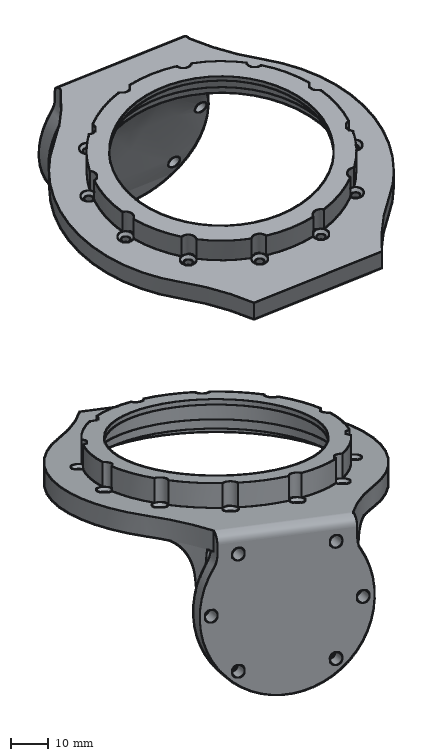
import cadquery as cq
import math

plate_thickness = 6.0
plate_radius = 46.0
plate_half_length = 50.0
plate_half_width = 20.0
blend_angle = 45.0

boss_radius = 36.0
boss_height = 7.0
boss_top = plate_thickness + boss_height

bore_radius = 30.0
lip_thickness = 1.5
upper_seat_radius = 33.5
lower_seat_radius = 34.5
recess_radius = 40.0
recess_depth = 3.0

screw_count = 12
screw_circle_radius = 36.9
screw_hole_diameter = 2.5
screw_head_diameter = 4.4

flange_thickness = 5.0
flange_radius = 25.0
flange_bottom = -42.1
flange_centre_z = flange_bottom + flange_radius
corner_radius = 3.1
flange_outer_x = -plate_half_length - corner_radius
flange_inner_x = flange_outer_x + flange_thickness
flange_hole_diameter = 3.6
flange_hole_circle_radius = 21.7
flange_hole_angles = (-50, 0, 50, 130, 180, 230)

gusset_reach = 15.3
gusset_toe_z = -38.1
gusset_disc_taper = 35.0
gusset_side_flare = 5.0
gusset_curve = ((10.9, -2.4), (8.8, -5.5), (7.4, -10.0), (6.4, -16.5), (5.8, -26.8))


def plate_outline():
    """Circle with a concave arc on each side of both straight ends."""
    blend_x = plate_radius * math.cos(math.radians(blend_angle))
    blend_y = plate_radius * math.sin(math.radians(blend_angle))
    end = (plate_half_length, plate_half_width)
    chord_x = end[0] - blend_x
    chord_y = blend_y - end[1]
    half_turn = math.radians(90 - blend_angle) - math.atan2(chord_y, chord_x)
    sagitta = math.hypot(chord_x, chord_y) / 2 * math.tan(half_turn / 2)
    chord_angle = math.atan2(chord_y, chord_x)
    mid_x = (blend_x + end[0]) / 2 - sagitta * math.sin(chord_angle)
    mid_y = (blend_y + end[1]) / 2 - sagitta * math.cos(chord_angle)
    return (
        cq.Workplane("XY")
        .moveTo(-blend_x, blend_y)
        .threePointArc((0, plate_radius), (blend_x, blend_y))
        .threePointArc((mid_x, mid_y), end)
        .lineTo(end[0], -end[1])
        .threePointArc((mid_x, -mid_y), (blend_x, -blend_y))
        .threePointArc((0, -plate_radius), (-blend_x, -blend_y))
        .threePointArc((-mid_x, -mid_y), (-end[0], -end[1]))
        .lineTo(-end[0], end[1])
        .threePointArc((-mid_x, mid_y), (-blend_x, blend_y))
        .close()
    )


def flange_body():
    """Disc with a straight neck, joined by concave arcs that start upright at Z = 0."""
    neck_radius = (flange_radius**2 - plate_half_width**2 - flange_centre_z**2) / (
        2 * (plate_half_width - flange_radius)
    )
    neck_centre_y = plate_half_width + neck_radius
    tangent_angle = math.atan2(-flange_centre_z, neck_centre_y)
    tangent_y = flange_radius * math.cos(tangent_angle)
    tangent_z = flange_centre_z + flange_radius * math.sin(tangent_angle)
    mid_y = neck_centre_y - neck_radius * math.cos(tangent_angle / 2)
    mid_z = -neck_radius * math.sin(tangent_angle / 2)
    return (
        cq.Workplane("YZ", origin=(flange_outer_x, 0, 0))
        .moveTo(-plate_half_width, plate_thickness)
        .lineTo(plate_half_width, plate_thickness)
        .lineTo(plate_half_width, 0)
        .threePointArc((mid_y, mid_z), (tangent_y, tangent_z))
        .threePointArc((0, flange_bottom), (-tangent_y, tangent_z))
        .threePointArc((-mid_y, mid_z), (-plate_half_width, 0))
        .close()
        .extrude(flange_thickness)
    )


def make_gusset():
    """Filler with a hollow curve, bounded sideways by a cone behind the disc and a flare below the rim."""
    toe = (flange_inner_x, gusset_toe_z)
    curve = [(flange_outer_x + reach, z) for reach, z in gusset_curve]
    filler = (
        cq.Workplane("XZ")
        .moveTo(flange_inner_x, 0)
        .lineTo(flange_outer_x + gusset_reach, 0)
        .spline(curve + [toe], includeCurrent=True)
        .close()
        .extrude(plate_radius, both=True)
    )
    behind_disc = (
        cq.Workplane("YZ", origin=(flange_inner_x, 0, 0))
        .center(0, flange_centre_z)
        .circle(flange_radius)
        .extrude(gusset_reach - flange_thickness, taper=gusset_disc_taper)
    )
    below_plate = plate_outline().extrude(flange_centre_z, taper=-gusset_side_flare)
    return filler.intersect(behind_disc.union(below_plate))


def cylinder(radius, bottom, top):
    return cq.Workplane("XY").workplane(offset=bottom).circle(radius).extrude(top - bottom)


def make_bore():
    lip_bottom = boss_top - lip_thickness
    gusset_clearance_z = gusset_toe_z
    return (
        cylinder(bore_radius, 0, boss_top)
        .union(cylinder(upper_seat_radius, plate_thickness, lip_bottom))
        .union(cylinder(lower_seat_radius, 0, plate_thickness))
        .union(cylinder(recess_radius, gusset_clearance_z, recess_depth))
    )


def make_screw_cutter():
    """Through hole, 45 degree countersink in the plate and head clearance beside the ring."""
    hole_radius = screw_hole_diameter / 2
    head_radius = screw_head_diameter / 2
    sink_bottom = plate_thickness - (head_radius - hole_radius)
    return (
        cq.Workplane("XZ")
        .polyline(
            [
                (0, 0),
                (hole_radius, 0),
                (hole_radius, sink_bottom),
                (head_radius, plate_thickness),
                (head_radius, boss_top),
                (0, boss_top),
            ]
        )
        .close()
        .revolve(360, (0, 0), (0, 1))
        .translate((screw_circle_radius, 0, 0))
    )


def make_flange_holes():
    """Holes that run through the flange and the gusset into the recess."""
    points = [
        (
            flange_hole_circle_radius * math.cos(math.radians(angle)),
            flange_centre_z + flange_hole_circle_radius * math.sin(math.radians(angle)),
        )
        for angle in flange_hole_angles
    ]
    return (
        cq.Workplane("YZ", origin=(flange_outer_x, 0, 0))
        .pushPoints(points)
        .circle(flange_hole_diameter / 2)
        .extrude(-flange_outer_x - recess_radius / 2)
    )


flange = flange_body().faces("<X").edges(">Z").fillet(corner_radius)
result = (
    plate_outline().extrude(plate_thickness)
    .union(cylinder(boss_radius, plate_thickness, boss_top))
    .union(flange)
    .union(make_gusset())
    .cut(make_bore())
    .cut(make_flange_holes())
)
screw_cutter = make_screw_cutter()
for index in range(screw_count):
    angle = (index + 0.5) * 360 / screw_count
    result = result.cut(screw_cutter.rotate((0, 0, 0), (0, 0, 1), angle))